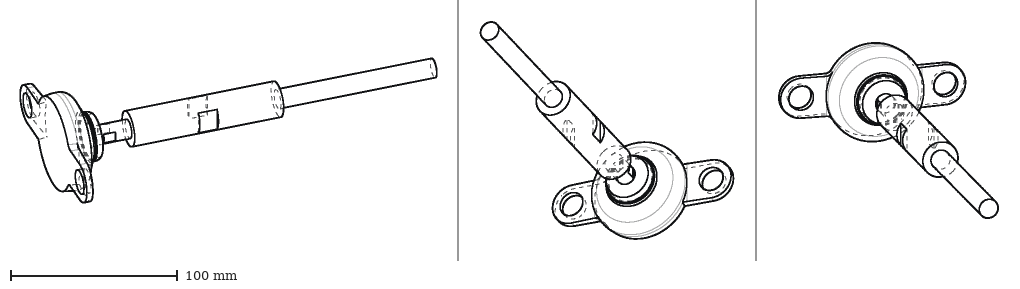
import cadquery as cq
import math

overall_length = 243.0

foot_radius = 60.0 / 2
base_face_radius = 29.2
rim_bottom = 5.8
rim_top = 8.7
shoulder_radius = 24.8
shoulder_height = 15.3
shoulder_mid_radius = 28.5
shoulder_mid_height = 13.1
cone_top_radius = 16.5
seat_radius = 15.5
cone_top = 20.0
seat_height = 21.5

foot_span = 116.0
lug_half_width = 12.6
lug_center = foot_span / 2 - lug_half_width
lug_hole_diameter = 15.0
lug_root_thickness = 5.5
lug_tip_thickness = 4.0
lug_corner_fillet = 4.1
corner_reach = 1.2

neck_radius = 14.0
collar_radius = 15.0
collar_bottom = 22.4
collar_mid_radius = 14.8
collar_mid_height = 25.0
collar_round_radius = 13.5
collar_round_height = 26.7
collar_top = 28.7
stem_radius = 12.0 / 2
stem_flat_half_width = 5.0
stem_flat_start = 30.1
stem_flat_length = 7.5
sleeve_radius = 22.0 / 2
sleeve_start = 47.9
sleeve_length = 95.3
sleeve_flat_half_width = 8.5
sleeve_flat_length = 12.0
sleeve_flat_start = sleeve_start + (sleeve_length - sleeve_flat_length) / 2


def revolve_about_y(profile):
    return profile.close().revolve(360, (0, 0, 0), (0, 1, 0))


def cylinder_y(radius, start, length):
    return cq.Workplane("XZ", origin=(0, start, 0)).circle(radius).extrude(-length)


def cut_side_flats(body, half_width, start, length):
    """Cut two flats facing -X and +X across a round bar."""
    cutter_size = 2 * sleeve_radius
    for side in (-1, 1):
        center_x = side * (half_width + cutter_size / 2)
        cutter = cq.Workplane("XY").box(cutter_size, length, cutter_size)
        body = body.cut(cutter.translate((center_x, start + length / 2, 0)))
    return body


def make_lugs():
    """Bar with round ends that gets thinner toward both tips, with a hole in each end."""
    outline = cq.Workplane("XZ").slot2D(foot_span, 2 * lug_half_width).extrude(-lug_root_thickness)
    taper = (
        cq.Workplane("XY")
        .moveTo(-foot_span / 2, 0)
        .lineTo(foot_span / 2, 0)
        .lineTo(foot_span / 2, lug_tip_thickness)
        .lineTo(foot_radius, lug_root_thickness)
        .lineTo(-foot_radius, lug_root_thickness)
        .lineTo(-foot_span / 2, lug_tip_thickness)
        .close()
        .extrude(lug_half_width, both=True)
    )
    holes = (
        cq.Workplane("XZ")
        .pushPoints([(-lug_center, 0), (lug_center, 0)])
        .circle(lug_hole_diameter / 2)
        .extrude(-lug_root_thickness)
    )
    return outline.intersect(taper).cut(holes)


def make_foot():
    dome = revolve_about_y(
        cq.Workplane("XY")
        .lineTo(base_face_radius, 0)
        .lineTo(foot_radius, rim_bottom)
        .lineTo(foot_radius, rim_top)
        .threePointArc((shoulder_mid_radius, shoulder_mid_height), (shoulder_radius, shoulder_height))
        .lineTo(cone_top_radius, cone_top)
        .lineTo(seat_radius, seat_height)
        .lineTo(0, seat_height)
    )
    foot = dome.union(make_lugs())
    corner_x = math.sqrt(base_face_radius**2 - lug_half_width**2)
    for side in (-1, 1):
        corner_z = side * lug_half_width
        corner_edge = cq.selectors.BoxSelector(
            (corner_x - corner_reach, 0, corner_z - corner_reach),
            (corner_x + corner_reach, lug_root_thickness, corner_z + corner_reach),
        )
        foot = foot.edges(corner_edge).fillet(lug_corner_fillet)
    return foot


def make_collar():
    """Collar with a rounded side and a sloping top, standing on a narrower neck that rests on the foot."""
    return revolve_about_y(
        cq.Workplane("XY")
        .moveTo(0, seat_height)
        .lineTo(neck_radius, seat_height)
        .lineTo(neck_radius, collar_bottom)
        .lineTo(collar_radius, collar_bottom)
        .threePointArc((collar_mid_radius, collar_mid_height), (collar_round_radius, collar_round_height))
        .lineTo(stem_radius, collar_top)
        .lineTo(0, collar_top)
    )


def make_spindle():
    stem = cylinder_y(stem_radius, seat_height, overall_length - seat_height)
    stem = cut_side_flats(stem, stem_flat_half_width, stem_flat_start, stem_flat_length)
    sleeve = cylinder_y(sleeve_radius, sleeve_start, sleeve_length)
    sleeve = cut_side_flats(sleeve, sleeve_flat_half_width, sleeve_flat_start, sleeve_flat_length)
    return make_collar().union(stem).union(sleeve)


foot = make_foot()
spindle = make_spindle()

result = cq.Compound.makeCompound([foot.val(), spindle.val()])